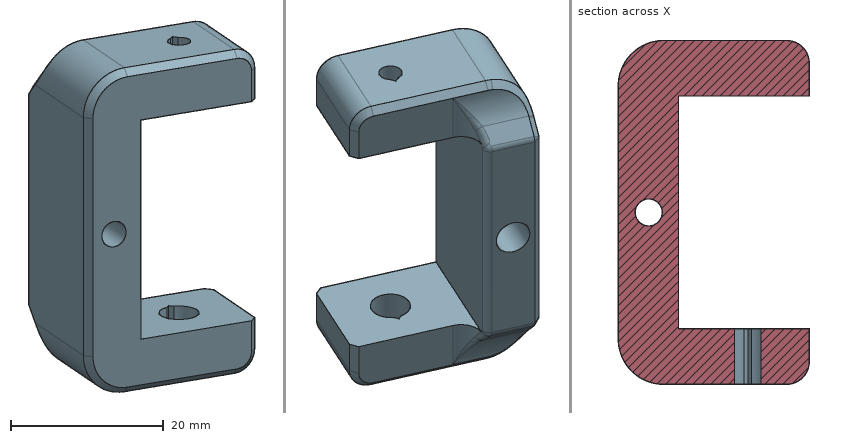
import cadquery as cq
import math

LENGTH_X = 18.0
DEPTH_Y = 25.0
HEIGHT_Z = 45.0

ARM_THICKNESS = 7.3
WALL_THICKNESS = 7.9
BACK_CORNER_RADIUS = 6.0
ARM_TIP_RADIUS = 3.0
EDGE_BEVEL = 0.95

TONGUE_LENGTH = 4.0
TONGUE_ROOT_RADIUS = 2.95
TONGUE_EDGE_RADIUS = 1.0
SCALLOP_RADIUS = 6.0
SCALLOP_TOP_DROP = 1.0

WALL_HOLE_DIAMETER = 3.5
COUNTERBORE_DIAMETER = 4.7
COUNTERBORE_DEPTH = 9.0
WALL_HOLE_Y = 4.0
UPPER_ARM_HOLE_DIAMETER = 3.0
LOWER_ARM_HOLE_DIAMETER = 5.2
ARM_HOLE_POINT_LENGTH = 0.45
ARM_HOLE_Y = 16.95
ARM_HOLE_X = (TONGUE_LENGTH + LENGTH_X) / 2

MID_Z = HEIGHT_Z / 2
OUTLINE_TOLERANCE = 0.01
COS_45 = math.cos(math.radians(45))


def frame_block():
    """Rounded block with the full Y-Z outline of the frame."""
    block = cq.Workplane("XY").box(LENGTH_X, DEPTH_Y, HEIGHT_Z, centered=False)
    block = block.edges("|X and <Y").fillet(BACK_CORNER_RADIUS)
    return block.edges("|X and >Y").fillet(ARM_TIP_RADIUS)


def plan_prism():
    """L-shaped plan: arms joined to the tongue by a concave root."""
    root_x = TONGUE_LENGTH - TONGUE_ROOT_RADIUS
    root_y = WALL_THICKNESS + TONGUE_ROOT_RADIUS
    return (
        cq.Workplane("XY")
        .lineTo(LENGTH_X, 0)
        .lineTo(LENGTH_X, DEPTH_Y)
        .lineTo(TONGUE_LENGTH, DEPTH_Y)
        .lineTo(TONGUE_LENGTH, root_y)
        .radiusArc((root_x, WALL_THICKNESS), TONGUE_ROOT_RADIUS)
        .lineTo(TONGUE_EDGE_RADIUS, WALL_THICKNESS)
        .radiusArc((0, WALL_THICKNESS - TONGUE_EDGE_RADIUS), -TONGUE_EDGE_RADIUS)
        .close()
        .extrude(HEIGHT_Z)
    )


def scallop():
    """Cutter for the top end of the tongue: concave arc running into a 45 degree slope."""
    arc_top_z = HEIGHT_Z - SCALLOP_TOP_DROP
    arc_end_x = TONGUE_LENGTH - SCALLOP_RADIUS * (1 - COS_45)
    arc_end_z = arc_top_z - SCALLOP_RADIUS * COS_45
    return (
        cq.Workplane("XZ")
        .moveTo(TONGUE_LENGTH, HEIGHT_Z)
        .lineTo(TONGUE_LENGTH, arc_top_z)
        .radiusArc((arc_end_x, arc_end_z), SCALLOP_RADIUS)
        .lineTo(0, arc_end_z - arc_end_x)
        .lineTo(0, HEIGHT_Z)
        .close()
        .extrude(-DEPTH_Y)
    )


def opening():
    """Space between the two arms."""
    return cq.Workplane("XY").box(
        LENGTH_X, DEPTH_Y - WALL_THICKNESS, HEIGHT_Z - 2 * ARM_THICKNESS, centered=False
    ).translate((0, WALL_THICKNESS, ARM_THICKNESS))


def wall_hole():
    """Stepped hole along X through the wall, wide at the tongue end."""
    axis = cq.Workplane("YZ").center(WALL_HOLE_Y, MID_Z)
    bore = axis.circle(WALL_HOLE_DIAMETER / 2).extrude(LENGTH_X)
    return bore.union(axis.circle(COUNTERBORE_DIAMETER / 2).extrude(COUNTERBORE_DEPTH))


def arm_hole(diameter, bottom_z):
    """Hole along Z through one arm, with a small right-angled point toward -X."""
    radius = diameter / 2
    point_x = radius + ARM_HOLE_POINT_LENGTH
    shoulder_y = (point_x - math.sqrt(2 * radius**2 - point_x**2)) / 2
    shoulder_x = shoulder_y - point_x
    return (
        cq.Workplane("XY", origin=(ARM_HOLE_X, ARM_HOLE_Y, bottom_z))
        .moveTo(shoulder_x, shoulder_y)
        .threePointArc((radius, 0), (shoulder_x, -shoulder_y))
        .lineTo(-point_x, 0)
        .close()
        .extrude(ARM_THICKNESS)
    )


def on_frame_outline(point):
    """True if a point lies on the outer Y-Z outline of the frame."""
    height = abs(point.z - MID_Z)
    radius = BACK_CORNER_RADIUS if point.y < DEPTH_Y / 2 else ARM_TIP_RADIUS
    past_y = max(radius - point.y, point.y - (DEPTH_Y - radius), 0)
    past_z = max(height - (MID_Z - radius), 0)
    return abs(math.hypot(past_y, past_z) - radius) < OUTLINE_TOLERANCE


def tongue_side_rim(solid):
    """Edges of the outer outline around the tongue and the -X side of the arms."""
    rim = []
    for edge in solid.edges().vals():
        samples = [edge.positionAt(fraction) for fraction in (0, 0.5, 1)]
        if all(on_frame_outline(p) and p.x < TONGUE_LENGTH + OUTLINE_TOLERANCE for p in samples):
            rim.append(edge)
    return rim


body = frame_block().intersect(plan_prism())
top_scallop = scallop()
body = body.cut(top_scallop).cut(top_scallop.mirror("XY").translate((0, 0, HEIGHT_Z)))
body = body.faces("<X").edges("|Y").fillet(TONGUE_EDGE_RADIUS)

body = body.faces(">X").edges().chamfer(EDGE_BEVEL)
body = body.newObject(tongue_side_rim(body)).chamfer(EDGE_BEVEL)

body = body.cut(opening()).cut(wall_hole())
body = body.cut(arm_hole(UPPER_ARM_HOLE_DIAMETER, HEIGHT_Z - ARM_THICKNESS))
result = body.cut(arm_hole(LOWER_ARM_HOLE_DIAMETER, 0))